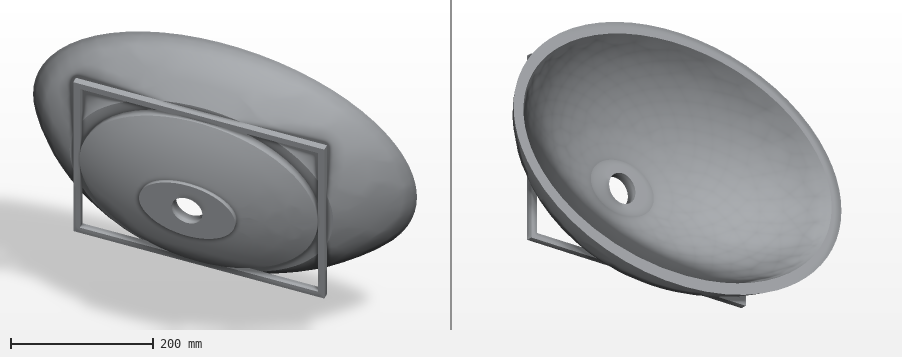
import cadquery as cq
import math

total_depth = 145.0
rim_half_x = 290.0
rim_half_z = 195.0
dome_apex_depth = 144.5
section_count = 9
flat_end = 4.0

front_tip_x = 362.0
front_tip_z = 162.5

wall = 17.5
floor_depth = total_depth - wall

pad_half_x = 72.5
pad_half_z = 48.0
drain_diameter = 46.5

frame_depth = 90.0
frame_bar = 10.0
frame_width = 379.5
frame_height = 285.0
opening_width = frame_width - 2 * frame_bar
opening_height = frame_height - 2 * frame_bar


def plane_at(depth):
    """XZ workplane at a depth behind the rim; extrusions run toward -Y."""
    return cq.Workplane("XZ", origin=(0, -depth, 0))


def half_width(rim_half, depth, apex_depth, front_tip):
    """Half width of an elliptical profile, rim_half at the rim and zero at its apex."""
    return rim_half * math.sqrt((1 - depth / apex_depth) * (1 + depth / front_tip))


def dome(half_x, half_z, apex_depth):
    """Loft elliptical sections from the rim almost to the apex."""
    end_depth = apex_depth - flat_end
    sections = []
    for index in range(section_count):
        depth = end_depth * math.sin(math.pi / 2 * index / (section_count - 1))
        section_x = half_width(half_x, depth, apex_depth, front_tip_x)
        section_z = half_width(half_z, depth, apex_depth, front_tip_z)
        sections.append(plane_at(depth).ellipse(section_x, section_z).val())
    return cq.Workplane(cq.Solid.makeLoft(sections))


def make_basin():
    body = dome(rim_half_x, rim_half_z, dome_apex_depth)

    outside_core = (
        plane_at(frame_depth)
        .rect(2 * rim_half_x, 2 * rim_half_z)
        .extrude(total_depth - frame_depth)
    )
    core = (
        plane_at(frame_depth)
        .ellipse(opening_width / 2, opening_height / 2)
        .extrude(total_depth - frame_depth)
    )
    body = body.cut(outside_core.cut(core))

    pad = plane_at(floor_depth).ellipse(pad_half_x, pad_half_z).extrude(wall)
    cavity = dome(rim_half_x - wall, rim_half_z - wall, floor_depth + flat_end)
    drain = plane_at(0).circle(drain_diameter / 2).extrude(total_depth)
    return body.union(pad).cut(cavity).cut(drain).solids()


def make_frame():
    return (
        plane_at(frame_depth)
        .rect(frame_width, frame_height)
        .rect(opening_width, opening_height)
        .extrude(frame_bar)
    )


basin = make_basin()
frame = make_frame()

result = cq.Compound.makeCompound([basin.val(), frame.val()])